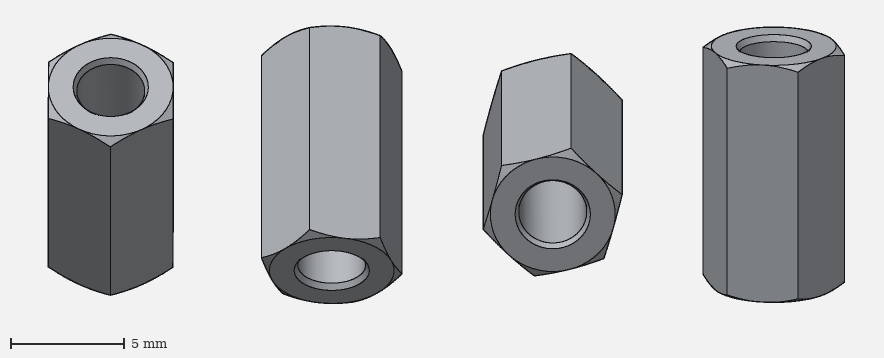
import cadquery as cq
import math

length = 11.0
across_flats = 5.51
bore_diameter = 3.0
countersink_diameter = 3.32
countersink_angle = 60.0
corner_chamfer_angle = 30.0

across_corners = across_flats / math.cos(math.radians(30))
face_radius = across_flats / 2
corner_radius = across_corners / 2
bore_radius = bore_diameter / 2
countersink_radius = countersink_diameter / 2
corner_drop = (corner_radius - face_radius) * math.tan(math.radians(corner_chamfer_angle))
countersink_depth = (countersink_radius - bore_radius) / math.tan(math.radians(countersink_angle / 2))


def hexagonal_bar():
    """Hexagonal prism standing on Z = 0 with two corners on the X axis."""
    return cq.Workplane("XY").polygon(6, across_corners).extrude(length)


def turned_envelope():
    """Revolved body with the coned ends and the countersunk bore.

    The half-section is drawn as (radius, height) and turned about Z.
    """
    half_section = [
        (countersink_radius, 0),
        (face_radius, 0),
        (corner_radius, corner_drop),
        (corner_radius, length - corner_drop),
        (face_radius, length),
        (countersink_radius, length),
        (bore_radius, length - countersink_depth),
        (bore_radius, countersink_depth),
    ]
    return cq.Workplane("XZ").polyline(half_section).close().revolve(360, (0, 0), (0, 1))


result = hexagonal_bar().intersect(turned_envelope())